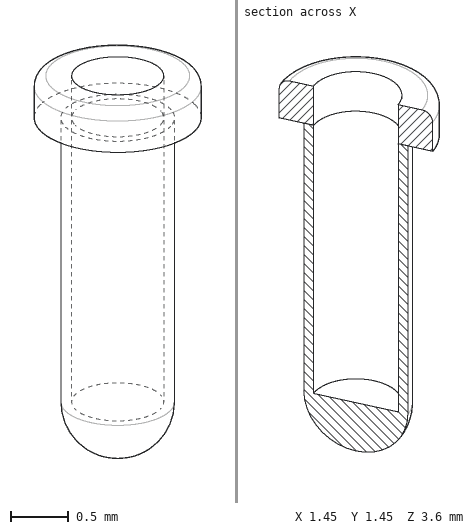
import cadquery as cq

total_height = 3.6
head_diameter = 1.45
head_height = 0.4
head_edge_radius = 0.1
bore_diameter = 0.8
shank_diameter = 0.985

shank_radius = shank_diameter / 2
head_bottom = total_height - head_height
bore_floor = shank_radius


def make_head():
    """Flat ring with a rounded upper rim and a through bore."""
    blank = cq.Workplane("XY").workplane(offset=head_bottom).circle(head_diameter / 2).extrude(head_height)
    rounded = blank.faces(">Z").edges().fillet(head_edge_radius)
    return rounded.faces(">Z").workplane().circle(bore_diameter / 2).cutThruAll()


def make_barrel():
    """Round tube under the head, continuing its bore, closed by a solid hemispherical tip."""
    dome_side = shank_radius * 0.5 ** 0.5
    profile = (
        cq.Workplane("XZ")
        .threePointArc((dome_side, shank_radius - dome_side), (shank_radius, shank_radius))
        .lineTo(shank_radius, head_bottom)
        .lineTo(0, head_bottom)
        .close()
    )
    solid = profile.revolve(360, (0, 0, 0), (0, 1, 0))
    bore_depth = head_bottom - bore_floor
    bore = cq.Workplane("XY").workplane(offset=bore_floor).circle(bore_diameter / 2).extrude(bore_depth)
    return solid.cut(bore)


head = make_head()
barrel = make_barrel()

result = cq.Compound.makeCompound([head.val(), barrel.val()])